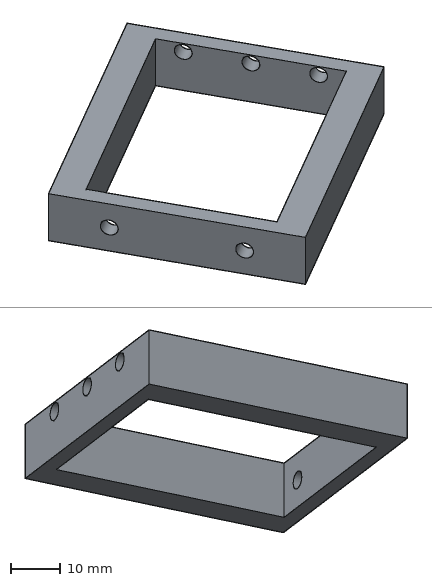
import cadquery as cq

width = 54.0
length = 59.0
height = 12.0
side_wall = 6.95
end_wall = 3.5

hole_diameter = 3.7
front_hole_spacing = 28.45
back_hole_spacing = 14.2
back_hole_z = 3.85

inner_width = width - 2 * side_wall
inner_length = length - 2 * end_wall


def end_wall_holes(x_positions, z, y_start):
    """Cylinders that pass through one end wall, starting at y_start and running toward +Y."""
    plane = cq.Workplane("XZ", origin=(0, y_start, 0))
    points = [(x, z) for x in x_positions]
    return plane.pushPoints(points).circle(hole_diameter / 2).extrude(-end_wall)


frame = cq.Workplane("XY").box(width, length, height)
frame = frame.cut(cq.Workplane("XY").box(inner_width, inner_length, height))

front_holes = end_wall_holes([-front_hole_spacing / 2, front_hole_spacing / 2], 0, -length / 2)
back_holes = end_wall_holes([-back_hole_spacing, 0, back_hole_spacing], back_hole_z, inner_length / 2)

result = frame.cut(front_holes).cut(back_holes)